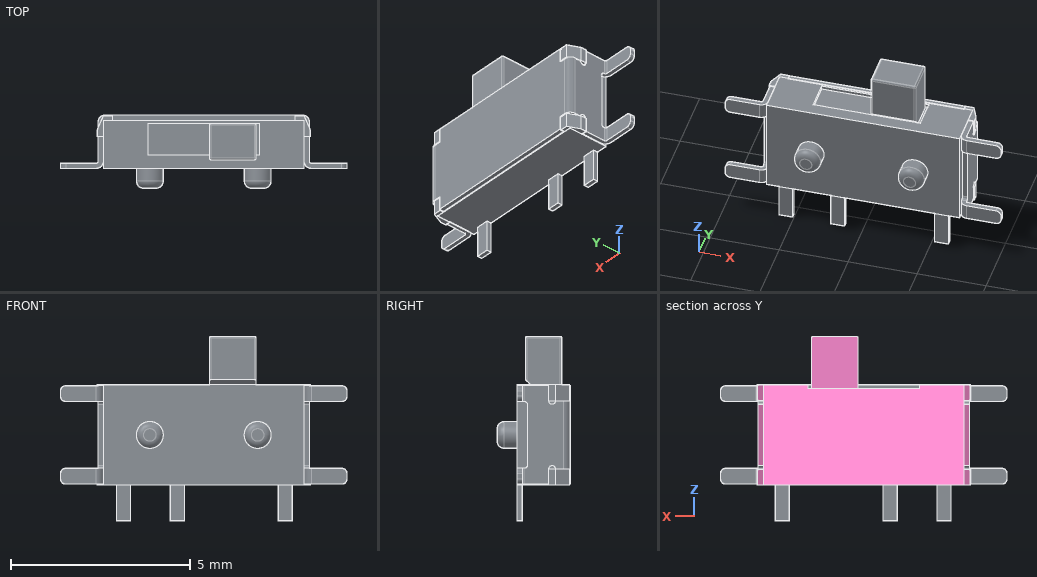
import cadquery as cq
import math


overall_length = 8.0

housing_length = 5.6
housing_height = 2.8
sheet = 0.15
overall_depth = 1.5
housing_depth = overall_depth - sheet
half_length = housing_length / 2
half_height = housing_height / 2

contact_pitch = 1.5
peg_spacing = 2 * contact_pitch
peg_diameter = 0.75
peg_length = 0.55
peg_rounding = 0.2

slider_width = 1.3
slider_height = 1.35
slider_offset = 0.81
slider_front = 0.24
slider_back = 1.26
slider_rounding = 0.05
slider_undercut = 0.14
window_length = 3.1
window_depth = 0.1
window_front = slider_front + slider_undercut

pin_width = 0.4
pin_length = 1.0
pin_row_offset = 0.02
pin_places = [pin_row_offset + steps * contact_pitch for steps in (-1.5, -0.5, 1.5)]

cover_inset = 0.02
cover_height = housing_height - 2 * cover_inset
cover_half_length = half_length + sheet
bend_outer = 0.2
bend_inner = bend_outer - sheet
side_front = 0.3
side_fillet = 0.08
leg_width = 0.45
leg_rounding = 0.15

crimp_height = 0.45
crimp_step = 0.02
crimp_back_reach = 0.25
crimp_bevel_end = 0.42
crimp_side_end = 0.61
relief_radius = (crimp_side_end - crimp_bevel_end) / 2


def box(x_range, y_range, z_range):
    """Box between two limits along each axis."""
    sizes = [high - low for low, high in (x_range, y_range, z_range)]
    corner = (x_range[0], y_range[0], z_range[0])
    return cq.Workplane("XY").box(*sizes, centered=False).translate(corner)


def at_four_corners(shape):
    """The shape given at the left top corner, repeated at all four corners."""
    left = shape.union(shape.mirror("XY"))
    return left.union(left.mirror("YZ"))


def make_housing():
    body = box((-half_length, half_length), (0, housing_depth), (-half_height, half_height))
    window = box(
        (-window_length / 2, window_length / 2),
        (window_front, slider_back),
        (half_height - window_depth, half_height),
    )
    pegs = (
        cq.Workplane("XZ")
        .pushPoints([(-peg_spacing / 2, 0), (peg_spacing / 2, 0)])
        .circle(peg_diameter / 2)
        .extrude(peg_length)
        .faces("<Y")
        .edges()
        .fillet(peg_rounding)
    )
    return body.cut(window).union(pegs)


def make_slider():
    """Knob with a bevelled front underside and a neck that stands on the window floor."""
    top = half_height + slider_height
    knob = box(
        (slider_offset - slider_width / 2, slider_offset + slider_width / 2),
        (slider_front, slider_back),
        (half_height - window_depth, top),
    )
    knob = knob.edges("|Z or >Z").fillet(slider_rounding)
    undercut = (
        cq.Workplane("YZ")
        .moveTo(slider_front, half_height + slider_undercut)
        .lineTo(window_front, half_height)
        .lineTo(window_front, half_height - window_depth)
        .lineTo(slider_front, half_height - window_depth)
        .close()
        .extrude(overall_length, both=True)
    )
    return knob.cut(undercut)


def make_pin(x):
    """Flat pin below the housing, flush with its front face."""
    return box(
        (x - pin_width / 2, x + pin_width / 2),
        (0, sheet),
        (-half_height - pin_length, -half_height),
    )


def make_leg():
    """Left top leg: a quarter bend out of the side wall, then a strip with rounded end corners."""
    bend_x = -half_length - bend_outer
    diagonal = math.sqrt(0.5)
    outer_mid = (bend_x + bend_outer * diagonal, bend_outer * (1 - diagonal))
    inner_mid = (bend_x + bend_inner * diagonal, bend_outer - bend_inner * diagonal)
    return (
        cq.Workplane("XY", origin=(0, 0, half_height - cover_inset - leg_width))
        .moveTo(-half_length, bend_outer)
        .threePointArc(outer_mid, (bend_x, 0))
        .lineTo(-overall_length / 2, 0)
        .lineTo(-overall_length / 2, sheet)
        .lineTo(bend_x, sheet)
        .threePointArc(inner_mid, (-cover_half_length, bend_outer))
        .close()
        .extrude(leg_width)
        .edges("|Y and <X")
        .fillet(leg_rounding)
    )


def make_crimp():
    """Left top crimped corner, bevelled across the bend of the cover."""
    side_x = -cover_half_length - crimp_step
    back_y = overall_depth - crimp_step
    return (
        cq.Workplane("XY", origin=(0, 0, half_height - crimp_height))
        .moveTo(crimp_back_reach - half_length, housing_depth)
        .lineTo(crimp_back_reach - half_length, back_y)
        .lineTo(-half_length, back_y)
        .lineTo(side_x, overall_depth - crimp_bevel_end)
        .lineTo(side_x, overall_depth - crimp_side_end)
        .lineTo(-half_length, overall_depth - crimp_side_end)
        .lineTo(-half_length, housing_depth)
        .close()
        .extrude(crimp_height)
    )


def make_crimp_opening():
    """Left top opening in the cover for the crimp, with a half-round relief at its inner edge."""
    inner_z = half_height - crimp_height
    corner = box(
        (-cover_half_length, crimp_back_reach - half_length),
        (overall_depth - crimp_side_end, overall_depth),
        (inner_z, half_height),
    )
    relief_y = overall_depth - crimp_side_end + relief_radius
    relief = (
        cq.Workplane("YZ", origin=(-cover_half_length, relief_y, inner_z))
        .circle(relief_radius)
        .extrude(sheet)
    )
    return corner.union(relief)


def make_cover():
    """Folded sheet over the back and both ends of the housing, with four legs."""
    cover_z = (-cover_height / 2, cover_height / 2)
    shell = box((-cover_half_length, cover_half_length), (bend_outer, overall_depth), cover_z)
    shell = shell.edges("|Z and >Y").fillet(bend_outer)
    inside = box((-half_length, half_length), (0, housing_depth), cover_z)

    leg_gap_half = cover_height / 2 - leg_width
    leg_gap = box(
        (-cover_half_length, cover_half_length),
        (0, side_front),
        (-leg_gap_half, leg_gap_half),
    )
    leg_gap = leg_gap.edges("|X and >Y").fillet(side_fillet)

    shell = shell.cut(inside).cut(leg_gap).cut(at_four_corners(make_crimp_opening()))
    return shell.union(at_four_corners(make_crimp())).union(at_four_corners(make_leg()))


housing = make_housing()
slider = make_slider()
cover = make_cover()
pins = [make_pin(x) for x in pin_places]

result = cq.Compound.makeCompound(
    [
        housing.solids().val(),
        slider.solids().val(),
        cover.solids().val(),
        *[pin.val() for pin in pins],
    ]
)